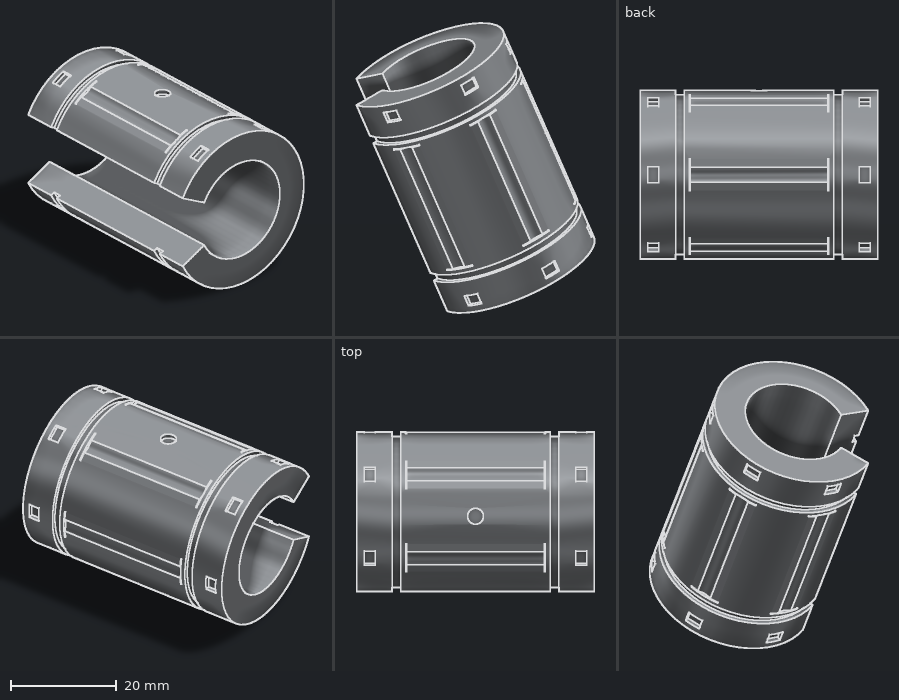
import cadquery as cq
import math


length = 45.0
outer_diameter = 32.0
bore_diameter = 20.0
outer_radius = outer_diameter / 2
opening_half_angle = 27.0

ring_groove_diameter = 30.3
ring_groove_width = 1.6
ring_groove_end_distance = 6.7

row_angles = (-150, -30, 30, 90, 150)

plate_recess_length = 26.45
plate_width = 6.05
plate_gap = 0.2
plate_gap_depth = 1.0
track_width = 2.8
track_radius = 2.95

pocket_length = 2.15
pocket_width = 3.05
pocket_depth = 0.85
pocket_end_distance = 2.48

oil_hole_diameter = 3.0
oil_hole_depth = 1.0

clearance = 0.9


def rim_height(width):
    """Height where a straight-sided cut of this width meets the outer surface."""
    return math.sqrt(outer_radius**2 - (width / 2) ** 2)


def cylinder_along_x(diameter, cylinder_length, centre_x=0.0):
    return (
        cq.Workplane("YZ", origin=(centre_x, 0, 0))
        .circle(diameter / 2)
        .extrude(cylinder_length / 2, both=True)
    )


def sleeve():
    return cylinder_along_x(outer_diameter, length).cut(cylinder_along_x(bore_diameter, length))


def opening_wedge():
    """Wedge with its tip on the axis that opens the sleeve towards -Y."""
    reach = outer_diameter
    half_width = reach * math.tan(math.radians(opening_half_angle))
    return (
        cq.Workplane("YZ")
        .polyline([(0, 0), (-reach, half_width), (-reach, -half_width)])
        .close()
        .extrude(length / 2, both=True)
    )


def ring_groove(side):
    centre_x = side * (length / 2 - ring_groove_end_distance - ring_groove_width / 2)
    blank = cylinder_along_x(outer_diameter + 2 * clearance, ring_groove_width, centre_x)
    return blank.cut(cylinder_along_x(ring_groove_diameter, ring_groove_width, centre_x))


def top_box(size_x, size_y, floor_z, centre_x):
    """Box from floor_z up past the top of the sleeve."""
    height = outer_radius + clearance - floor_z
    return (
        cq.Workplane("XY")
        .box(size_x, size_y, height, centered=(True, True, False))
        .translate((centre_x, 0, floor_z))
    )


def ball_track():
    """Concave groove along the middle of a ball plate."""
    rise = math.sqrt(track_radius**2 - (track_width / 2) ** 2)
    return cylinder_along_x(2 * track_radius, plate_recess_length).translate(
        (0, 0, rim_height(track_width) + rise)
    )


def plate_flats():
    """Cut that turns the strips on both sides of the track into flat faces."""
    inner_y = track_width / 2
    outer_y = plate_width / 2
    top_z = outer_radius + clearance
    outline = [
        (-outer_y, rim_height(plate_width)),
        (-inner_y, rim_height(track_width)),
        (inner_y, rim_height(track_width)),
        (outer_y, rim_height(plate_width)),
        (outer_y, top_z),
        (-outer_y, top_z),
    ]
    return cq.Workplane("YZ").polyline(outline).close().extrude(plate_recess_length / 2, both=True)


def ball_row():
    """Cuts of one ball row, placed at the top of the sleeve."""
    cuts = ball_track().union(plate_flats())
    for side in (-1, 1):
        gap_x = side * (plate_recess_length - plate_gap) / 2
        gap_floor = rim_height(plate_width) - plate_gap_depth
        cuts = cuts.union(top_box(plate_gap, plate_width, gap_floor, gap_x))
        pocket_x = side * (length / 2 - pocket_end_distance)
        pocket_floor = rim_height(pocket_width) - pocket_depth
        cuts = cuts.union(top_box(pocket_length, pocket_width, pocket_floor, pocket_x))
    return cuts


def oil_hole():
    floor_z = outer_radius - oil_hole_depth
    return (
        cq.Workplane("XY", origin=(0, 0, floor_z))
        .circle(oil_hole_diameter / 2)
        .extrude(oil_hole_depth + clearance)
    )


result = sleeve().cut(opening_wedge()).cut(oil_hole())
for end in (-1, 1):
    result = result.cut(ring_groove(end))
for angle in row_angles:
    result = result.cut(ball_row().rotate((0, 0, 0), (1, 0, 0), -angle))